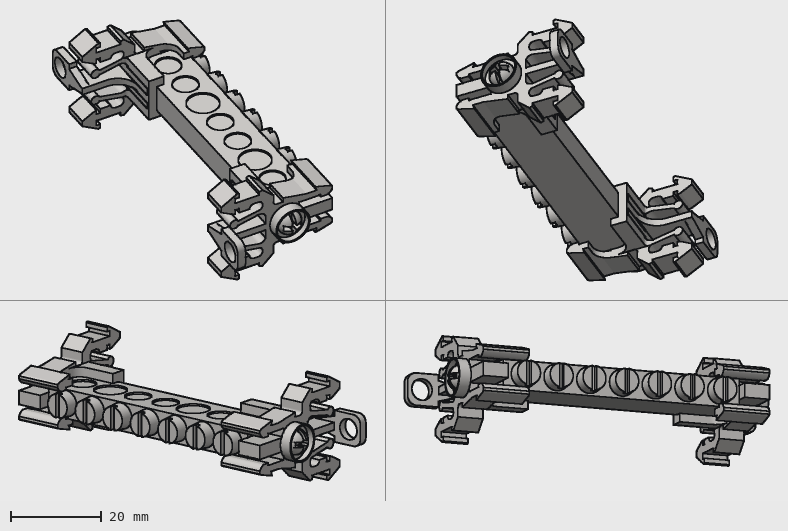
import cadquery as cq

LENGTH = 83.0
DEPTH = 28.2
HEIGHT = 24.0
OUTER_X = -LENGTH / 2
BACK_Y = DEPTH / 2
FRONT_Y = -DEPTH / 2
TOP_Z = HEIGHT / 2

CLIP_THICKNESS = 6.0
CLIP_OUTER_X = -34.1
CLIP_INNER_X = CLIP_OUTER_X + CLIP_THICKNESS
WALL_FRONT_Y = -2.8
SLOT_END_Y = 5.7
ARM_UNDERSIDE_Z = 3.65
LIP_Z = 3.1
ARM_TOP_Z = 5.3
MIDDLE_BAR_HEIGHT = 3.2

ARM_END_X = -23.15
JAW_END_X = -18.1
JAW_HEIGHT = 10.8
JAW_FRONT_Y = -2.9
WINDOW_FRONT_Y = 0.9
WINDOW_BACK_Y = 8.8
WINDOW_RADIUS = 2.8
JAW_ROOT_RADIUS = 0.8
JAW_GROOVE_END_X = -18.9
UPPER_GROOVE_Z = (0.9, 2.8)
LOWER_GROOVE_Z = (-2.8, -1.25)

WEB_THICKNESS = 1.75
WEB_GUSSET_RADIUS = 5.0
EAR_THICKNESS = 2.0
EAR_HEIGHT = 7.3
EAR_CORNER_RADIUS = 2.0
EAR_HOLE_X = -38.1
EAR_HOLE_RADIUS = 2.4
EAR_TAPER_HEIGHT = 4.65
EAR_TAPER_END_X = -28.9

BOSS_Y = 2.6
BOSS_RADIUS = 4.3
BOSS_LENGTH = 2.7
CUP_RADIUS = 4.0
CUP_DEPTH = 1.7
DOME_RADIUS = 3.0
DOME_TIP_X = -37.75
CROSS_FLOOR_X = -35.35
CROSS_VERTICAL = (0.9, 5.8)
CROSS_HORIZONTAL = (1.25, 4.5)

BAR_BACK_Y = 11.0
BAR_FRONT_Y = -0.9
BAR_HEIGHT = 6.6
BAR_MIDDLE_Z = -0.2
TERMINAL_COUNT = 7
TERMINAL_PITCH = 7.8
TERMINAL_ROW_X = -0.2
WIRE_HOLE_RADIUS = 3.0
LARGE_WIRE_HOLE_RADIUS = 3.7
LARGE_TERMINALS = (2, 5)
WIRE_HOLE_DEPTH = 0.4
SCREW_BASE_RADIUS = 3.0
SCREW_TIP_RADIUS = 2.7
SCREW_SLOT_WIDTH = 1.0
SCREW_SLOT_DEPTH = 1.1


def box(x_range, y_range, z_range):
    """Box between two limits on each axis."""
    limits = (x_range, y_range, z_range)
    sizes = [high - low for low, high in limits]
    middle = tuple((high + low) / 2 for low, high in limits)
    return cq.Workplane("XY").box(*sizes).translate(middle)


def centred(size):
    """Limits of a length centred on zero."""
    return (-size / 2, size / 2)


def clip_section(end_x):
    """Clip cross-section in Y and Z, extruded inward from its outer face to end_x."""
    half = (
        cq.Workplane("YZ", origin=(CLIP_OUTER_X, 0, 0))
        .moveTo(SLOT_END_Y, 0)
        .lineTo(SLOT_END_Y, ARM_UNDERSIDE_Z)
        .lineTo(11.1, ARM_UNDERSIDE_Z)
        .lineTo(11.1, LIP_Z)
        .lineTo(12.7, LIP_Z)
        .threePointArc((13.5, 3.5), (BACK_Y, 4.3))
        .lineTo(BACK_Y, 5.0)
        .lineTo(13.6, 5.3)
        .lineTo(9.8, 6.4)
        .lineTo(10.1, ARM_TOP_Z)
        .lineTo(7.55, ARM_TOP_Z)
        .lineTo(1.6, 6.4)
        .lineTo(1.6, ARM_TOP_Z)
        .lineTo(0.0, ARM_TOP_Z)
        .threePointArc((-0.6, 5.6), (-0.8, 6.1))
        .lineTo(-0.8, 8.05)
        .lineTo(-3.65, 10.6)
        .lineTo(-4.4, 10.4)
        .lineTo(-4.4, 9.55)
        .lineTo(-10.5, 9.55)
        .lineTo(-10.5, 10.8)
        .lineTo(-9.55, 10.8)
        .lineTo(-9.55, 11.8)
        .lineTo(-10.0, TOP_Z)
        .lineTo(FRONT_Y, 9.7)
        .lineTo(FRONT_Y, 8.3)
        .lineTo(-11.4, 6.8)
        .lineTo(-10.5, 6.55)
        .lineTo(-10.5, 7.6)
        .lineTo(-9.55, 7.6)
        .lineTo(-9.55, 6.55)
        .lineTo(-6.9, 6.55)
        .threePointArc((-6.55, 7.3), (-5.8, 7.6))
        .lineTo(-4.65, 7.6)
        .threePointArc((-3.6, 6.5), (-4.3, 5.3))
        .lineTo(-9.8, 4.3)
        .threePointArc((-11.9, 3.7), (-9.8, 3.1))
        .lineTo(-4.65, 4.1)
        .threePointArc((-3.4, 3.8), (WALL_FRONT_Y, 3.1))
        .lineTo(WALL_FRONT_Y, 0)
        .close()
        .extrude(end_x - CLIP_OUTER_X)
    )
    return half.union(half.mirror("XY"))


def concave_corner(x, y, radius, y_direction, height):
    """Fillet wedge that fills the corner between a wall at x and a face at y."""
    bulge = radius * (1 - 0.5 ** 0.5)
    return (
        cq.Workplane("XY", origin=(0, 0, -height / 2))
        .moveTo(x, y)
        .lineTo(x + radius, y)
        .threePointArc((x + bulge, y + y_direction * bulge), (x, y + y_direction * radius))
        .close()
        .extrude(height)
    )


def arm_extensions():
    """Inward reach of the two rear arms."""
    plan = box((CLIP_INNER_X, ARM_END_X), (WINDOW_BACK_Y, BACK_Y), centred(HEIGHT))
    plan = plan.union(concave_corner(CLIP_INNER_X, WINDOW_BACK_Y, WINDOW_RADIUS, -1, HEIGHT))
    return clip_section(ARM_END_X).intersect(plan)


def jaw():
    """Block that holds the front edge of the bar, with two shallow grooves."""
    body = box((CLIP_INNER_X, JAW_END_X), (JAW_FRONT_Y, WINDOW_FRONT_Y), centred(JAW_HEIGHT))
    body = body.union(concave_corner(CLIP_INNER_X, WINDOW_FRONT_Y, WINDOW_RADIUS, 1, JAW_HEIGHT))
    root = concave_corner(CLIP_INNER_X, JAW_FRONT_Y, JAW_ROOT_RADIUS, -1, JAW_HEIGHT)
    body = body.union(root.intersect(clip_section(JAW_END_X)))
    for groove_z in (UPPER_GROOVE_Z, LOWER_GROOVE_Z):
        body = body.cut(box((CLIP_INNER_X, JAW_GROOVE_END_X), (FRONT_Y, WALL_FRONT_Y), groove_z))
    return body


def web():
    """Thin web between the clip and the ear, with a round gusset under the jaw."""
    plate = box((CLIP_OUTER_X, CLIP_INNER_X), (FRONT_Y, WALL_FRONT_Y), centred(WEB_THICKNESS))
    return plate.union(concave_corner(CLIP_INNER_X, JAW_FRONT_Y, WEB_GUSSET_RADIUS, -1, WEB_THICKNESS))


def ear():
    """Drilled mounting ear that tapers into the web."""
    ear_y = (FRONT_Y, FRONT_Y + EAR_THICKNESS)
    tab = box((OUTER_X, CLIP_OUTER_X), ear_y, centred(EAR_HEIGHT))
    tab = tab.edges("|Y and <X").fillet(EAR_CORNER_RADIUS)
    taper = (
        cq.Workplane("XZ", origin=(0, FRONT_Y, 0))
        .moveTo(CLIP_OUTER_X, -EAR_TAPER_HEIGHT / 2)
        .lineTo(EAR_TAPER_END_X, -WEB_THICKNESS / 2)
        .lineTo(EAR_TAPER_END_X, WEB_THICKNESS / 2)
        .lineTo(CLIP_OUTER_X, EAR_TAPER_HEIGHT / 2)
        .close()
        .extrude(-EAR_THICKNESS)
    )
    hole = (
        cq.Workplane("XZ", origin=(EAR_HOLE_X, FRONT_Y, 0))
        .circle(EAR_HOLE_RADIUS)
        .extrude(-EAR_THICKNESS)
    )
    return tab.union(taper).cut(hole)


def screw_boss():
    """Cup-shaped boss around a domed cross-recess screw."""
    rim_x = CLIP_OUTER_X - BOSS_LENGTH
    cup_floor_x = rim_x + CUP_DEPTH
    dome_centre_x = DOME_TIP_X + DOME_RADIUS
    boss = cq.Workplane("YZ", origin=(rim_x, BOSS_Y, 0)).circle(BOSS_RADIUS).extrude(BOSS_LENGTH)
    cup = cq.Workplane("YZ", origin=(rim_x, BOSS_Y, 0)).circle(CUP_RADIUS).extrude(CUP_DEPTH)
    dome = cq.Workplane("XY").sphere(DOME_RADIUS).translate((dome_centre_x, BOSS_Y, 0))
    dome = dome.intersect(box((DOME_TIP_X, cup_floor_x), centred(DEPTH), centred(HEIGHT)))
    boss = boss.cut(cup).union(dome)
    vertical_width, vertical_length = CROSS_VERTICAL
    horizontal_width, horizontal_length = CROSS_HORIZONTAL
    for size_y, size_z in ((vertical_width, vertical_length), (horizontal_length, horizontal_width)):
        slot = box((DOME_TIP_X, CROSS_FLOOR_X), centred(size_y), centred(size_z))
        boss = boss.cut(slot.translate((0, BOSS_Y, 0)))
    return boss


def end_clip():
    """Complete clip for the -X end."""
    middle_bar = box((CLIP_OUTER_X, CLIP_INNER_X), (SLOT_END_Y, BACK_Y), centred(MIDDLE_BAR_HEIGHT))
    clip = clip_section(CLIP_INNER_X).union(middle_bar)
    for feature in (arm_extensions(), jaw(), web(), ear(), screw_boss()):
        clip = clip.union(feature)
    return clip


def terminal_screw(x):
    """Tapered, slotted screw head on the back face of the bar."""
    head_length = BACK_Y - BAR_BACK_Y
    head = (
        cq.Workplane("XZ", origin=(x, BAR_BACK_Y, 0))
        .circle(SCREW_BASE_RADIUS)
        .workplane(offset=-head_length)
        .circle(SCREW_TIP_RADIUS)
        .loft()
    )
    slot = box(centred(SCREW_SLOT_WIDTH), (BACK_Y - SCREW_SLOT_DEPTH, BACK_Y), centred(HEIGHT))
    return head.cut(slot.translate((x, 0, 0)))


def terminal_bar():
    """Bar with a row of wire holes in its top and clamping screws on its back."""
    bar_z = (BAR_MIDDLE_Z - BAR_HEIGHT / 2, BAR_MIDDLE_Z + BAR_HEIGHT / 2)
    bar = box((CLIP_INNER_X, -CLIP_INNER_X), (BAR_FRONT_Y, BAR_BACK_Y), bar_z)
    hole_y = (BAR_FRONT_Y + BAR_BACK_Y) / 2
    for index in range(TERMINAL_COUNT):
        x = TERMINAL_ROW_X + (index - (TERMINAL_COUNT - 1) / 2) * TERMINAL_PITCH
        radius = LARGE_WIRE_HOLE_RADIUS if index in LARGE_TERMINALS else WIRE_HOLE_RADIUS
        hole = cq.Workplane("XY", origin=(x, hole_y, bar_z[1])).circle(radius).extrude(-WIRE_HOLE_DEPTH)
        bar = bar.cut(hole).union(terminal_screw(x))
    return bar


left_clip = end_clip()
result = terminal_bar().union(left_clip).union(left_clip.mirror("YZ"))